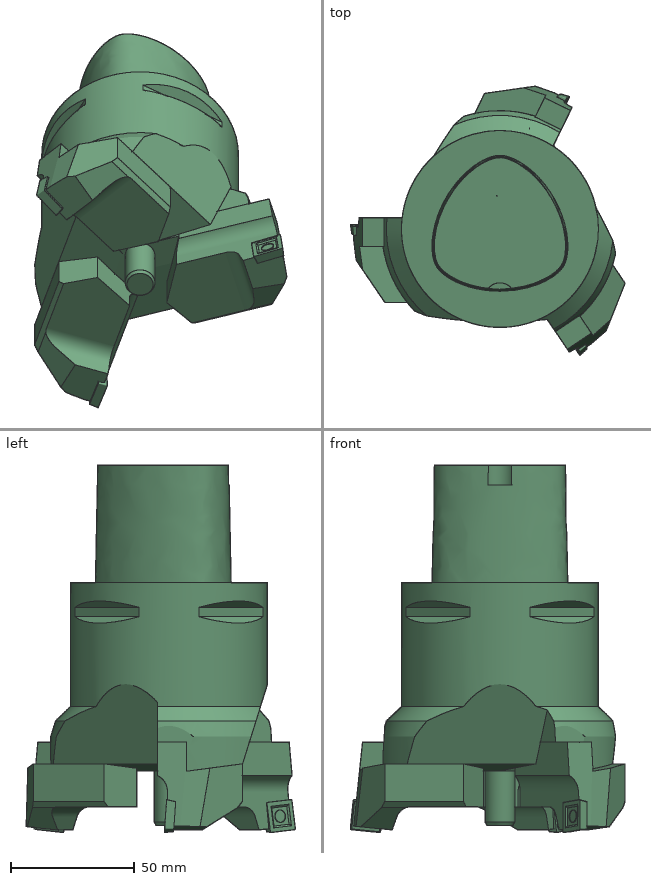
import cadquery as cq
import math


TOP_Z = 149.2
FAR = 89.5

SLIDE_ANGLES = [180.0, 304.0, 63.9]

SHANK_BASE_Z = 101.5
SHANK_BASE_RADIUS = 27.6
SHANK_LOBE = 4.6
SHANK_TAPER = 0.02
SHANK_POINTS = 60
NOTCH_RADIUS = 12.1 / 2
NOTCH_CENTRE_Y = -27.9
NOTCH_DEPTH = 8.0

BARREL_RADIUS = 80.0 / 2
BARREL_BASE_Z = 51.2
COLLAR_TOP_RADIUS = 46.1
COLLAR_TOP_Z = 45.4
COLLAR_RADIUS = 48.0
COLLAR_SHOULDER_Z = 39.0
HUB_Z = 24.9
PIN_RADIUS = 12.1 / 2
PIN_Z = 2.8
PIN_CHAMFER_RADIAL = 0.7
PIN_CHAMFER_HEIGHT = 1.5

GROOVE_ANGLES = [45.0, 135.0, 225.0, 315.0]
GROOVE_MID_Z = 89.5
GROOVE_FLAT_DISTANCE = 35.5
GROOVE_FLAT_HEIGHT = 3.7
GROOVE_MOUTH_HEIGHT = 9.0

FACE_Y = -4.6
BACK_Y = 29.8
BACK_TOP_Z = 27.9
BLOCK_BACK_Y = 7.2
BLOCK_TOP_Z = 36.7
BLOCK_TOP_X = 55.8
BLOCK_LEAN = 0.1
SLIDE_BOTTOM_Z = 1.0
BACK_CORNER_X = 46.7
BACK_FACET_SLOPE = 0.68
INNER_BACK_X = 14.8
INNER_POINT_X = 6.7
INNER_POINT_Y = 16.0
INNER_ANGLE = 28.0
CHIN_Y = 13.5
HEEL_Y = 27.9
HEEL_Z = 10.1
HEEL_TOP_Z = 12.7
BRIDGE_Z = 10.5
BOTTOM_RISE = 0.1
LEG_BOTTOM_X = 43.7
LEG_LEAN = 0.35
LEG_FILLET = 12.1 / 2
RELIEF_Y = -0.6
RELIEF_TOP_Z = 23.1
RELIEF_RADIUS = 7.3
SIDE_FACET_TURN = 7.0
SIDE_FACET_LEAN = 5.3

PAD_X = 47.3
PAD_MID_Z = 34.3
PAD_LEAN = 3.5
PAD_HALF_WIDTH = 14.9
PAD_HEIGHT = 22.4

GULLY_TOP_Z = 60.1
GULLY_LEAN = 17.4

INSERT_SIZE = 12.4
INSERT_THICKNESS = 3.7
INSERT_NOSE = 0.6
INSERT_CLEARANCE = 9.0
INSERT_CENTRE = (54.0, -1.42, 6.7)
INSERT_LEAD = 5.7
INSERT_RAKE = 4.0
SCREW_SINK_DIAMETER = 5.0
SCREW_SINK_DEPTH = 0.3
DISH_SIZE = 8.8
DISH_DEPTH = 0.6
DISH_TAPER = 50.0

seat_slope = (BACK_TOP_Z - HUB_Z) / (BACK_Y - BLOCK_BACK_Y)


def about_z(body, angle):
    return body.rotate((0, 0, 0), (0, 0, 1), angle)


def beyond_plane(lean):
    """Big block on the +X side of a plane through the origin, its top leaning outward by `lean`."""
    block = cq.Workplane("XY").box(FAR, 2 * FAR, 2 * FAR, centered=(False, True, True))
    return block.rotate((0, 0, 0), (0, 1, 0), lean)


def ahead_of_face():
    """Big block on the open side of a slide's cutting face."""
    block = cq.Workplane("XY").box(2 * FAR, FAR, 2 * FAR, centered=(True, False, True))
    return block.translate((0, FACE_Y - FAR, 0))


def shank_section(z):
    """Three-lobed closed curve with one lobe toward +Y."""
    radius = SHANK_BASE_RADIUS - SHANK_TAPER * (z - SHANK_BASE_Z)
    points = []
    for i in range(SHANK_POINTS):
        a = 2 * math.pi * i / SHANK_POINTS
        along = radius * math.cos(a) - SHANK_LOBE * (math.cos(2 * a) - math.cos(4 * a) / 2)
        across = radius * math.sin(a) + SHANK_LOBE * (math.sin(2 * a) + math.sin(4 * a) / 2)
        points.append(cq.Vector(across, -along, z))
    return cq.Wire.assembleEdges([cq.Edge.makeSpline(points, periodic=True)])


def make_shank():
    sections = [shank_section(SHANK_BASE_Z), shank_section(TOP_Z)]
    shank = cq.Workplane(obj=cq.Solid.makeLoft(sections, True))
    notch = (
        cq.Workplane("XY")
        .workplane(offset=TOP_Z - NOTCH_DEPTH)
        .center(0, NOTCH_CENTRE_Y)
        .circle(NOTCH_RADIUS)
        .extrude(NOTCH_DEPTH)
    )
    return shank.cut(notch)


def make_barrel():
    """Turned shape of the adapter below the shank, with its centre pin."""
    return (
        cq.Workplane("XZ")
        .moveTo(0, PIN_Z)
        .lineTo(PIN_RADIUS - PIN_CHAMFER_RADIAL, PIN_Z)
        .lineTo(PIN_RADIUS, PIN_Z + PIN_CHAMFER_HEIGHT)
        .lineTo(PIN_RADIUS, HUB_Z)
        .lineTo(COLLAR_RADIUS, HUB_Z)
        .lineTo(COLLAR_RADIUS, COLLAR_SHOULDER_Z)
        .lineTo(COLLAR_TOP_RADIUS, COLLAR_TOP_Z)
        .lineTo(BARREL_RADIUS, BARREL_BASE_Z)
        .lineTo(BARREL_RADIUS, SHANK_BASE_Z)
        .lineTo(0, SHANK_BASE_Z)
        .close()
        .revolve(360, (0, 0, 0), (0, 1, 0))
    )


def gripper_groove():
    """Straight groove with sloping walls, cut across the +X side of the barrel."""
    flare = (GROOVE_MOUTH_HEIGHT - GROOVE_FLAT_HEIGHT) / 2
    depth = BARREL_RADIUS - GROOVE_FLAT_DISTANCE
    return (
        cq.Workplane("XZ")
        .moveTo(GROOVE_FLAT_DISTANCE, GROOVE_MID_Z - GROOVE_FLAT_HEIGHT / 2)
        .line(depth, -flare)
        .line(0, GROOVE_MOUTH_HEIGHT)
        .line(-depth, -flare)
        .close()
        .extrude(FAR, both=True)
    )


def gully(slide_angle, next_angle):
    """Chip space behind a slide: a leaning flat that ends at the next slide's cutting face."""
    flat = beyond_plane(GULLY_LEAN).translate((BARREL_RADIUS, 0, GULLY_TOP_Z))
    back_angle = slide_angle + 90
    return about_z(flat, back_angle).intersect(about_z(ahead_of_face(), next_angle))


def seat_space(slide_angle, next_angle):
    """Space under the sloping seat, from behind a slide to the next slide's cutting face."""
    below = (
        cq.Workplane("YZ")
        .moveTo(BLOCK_BACK_Y, HUB_Z)
        .lineTo(FAR, HUB_Z + seat_slope * (FAR - BLOCK_BACK_Y))
        .lineTo(FAR, 0)
        .lineTo(BLOCK_BACK_Y, 0)
        .close()
        .extrude(FAR, both=True)
    )
    return about_z(below, slide_angle).intersect(about_z(ahead_of_face(), next_angle))


def pad_space():
    """Leaning flat on the collar above the slide."""
    block = cq.Workplane("XY").box(FAR, 2 * PAD_HALF_WIDTH, PAD_HEIGHT, centered=(False, True, True))
    return block.rotate((0, 0, 0), (0, 1, 0), -PAD_LEAN).translate((PAD_X, 0, PAD_MID_Z))


def make_adapter():
    adapter = make_barrel().union(make_shank())
    for angle in GROOVE_ANGLES:
        adapter = adapter.cut(about_z(gripper_groove(), angle))
    for i, angle in enumerate(SLIDE_ANGLES):
        next_angle = SLIDE_ANGLES[(i + 1) % len(SLIDE_ANGLES)]
        adapter = adapter.cut(gully(angle, next_angle))
        adapter = adapter.cut(seat_space(angle, next_angle))
        adapter = adapter.cut(about_z(pad_space(), angle))
    return adapter


def slide_plan():
    """Slide outline seen along Z: pointed inner end, square face and slanted back facet."""
    inner_face_x = INNER_POINT_X + (INNER_POINT_Y - FACE_Y) * math.tan(math.radians(INNER_ANGLE))
    outer_face_x = BACK_CORNER_X + (BACK_Y - FACE_Y) * BACK_FACET_SLOPE
    return (
        cq.Workplane("XY")
        .moveTo(inner_face_x, FACE_Y)
        .lineTo(outer_face_x, FACE_Y)
        .lineTo(BACK_CORNER_X, BACK_Y)
        .lineTo(INNER_BACK_X, BACK_Y)
        .lineTo(INNER_POINT_X, INNER_POINT_Y)
        .close()
        .extrude(BLOCK_TOP_Z)
    )


def slide_side():
    """Slide outline seen along X: raised block, sloping seat, cut-back heel and face relief."""
    relief_depth = RELIEF_Y - FACE_Y
    relief_height = math.sqrt(relief_depth * (2 * RELIEF_RADIUS - relief_depth))
    return (
        cq.Workplane("YZ")
        .moveTo(FACE_Y, BLOCK_TOP_Z)
        .lineTo(FACE_Y, RELIEF_TOP_Z)
        .radiusArc((RELIEF_Y, RELIEF_TOP_Z - relief_height), RELIEF_RADIUS)
        .lineTo(RELIEF_Y, SLIDE_BOTTOM_Z)
        .lineTo(CHIN_Y, SLIDE_BOTTOM_Z)
        .lineTo(HEEL_Y, HEEL_Z)
        .lineTo(BACK_Y, HEEL_TOP_Z)
        .lineTo(BACK_Y, BACK_TOP_Z)
        .lineTo(BLOCK_BACK_Y, HUB_Z)
        .lineTo(BLOCK_BACK_Y, BLOCK_TOP_Z)
        .close()
        .extrude(FAR)
    )


def slide_front():
    """Slide outline seen along Y: leaning outer face, and a leg below the bridge."""
    outer_bottom_x = BLOCK_TOP_X + BLOCK_LEAN * (BLOCK_TOP_Z - SLIDE_BOTTOM_Z)
    outer_bottom_z = SLIDE_BOTTOM_Z + BOTTOM_RISE * (outer_bottom_x - LEG_BOTTOM_X)
    leg_top_x = LEG_BOTTOM_X - LEG_LEAN * (BRIDGE_Z - SLIDE_BOTTOM_Z)
    fillet_reach = LEG_FILLET * math.tan((math.pi / 2 - math.atan(LEG_LEAN)) / 2)
    leg_length = math.hypot(1, LEG_LEAN)
    fillet_end_x = leg_top_x + fillet_reach * LEG_LEAN / leg_length
    fillet_end_z = BRIDGE_Z - fillet_reach / leg_length
    return (
        cq.Workplane("XZ")
        .moveTo(0, BLOCK_TOP_Z)
        .lineTo(BLOCK_TOP_X, BLOCK_TOP_Z)
        .lineTo(outer_bottom_x, outer_bottom_z)
        .lineTo(LEG_BOTTOM_X, SLIDE_BOTTOM_Z)
        .lineTo(fillet_end_x, fillet_end_z)
        .radiusArc((leg_top_x - fillet_reach, BRIDGE_Z), -LEG_FILLET)
        .lineTo(0, BRIDGE_Z)
        .close()
        .extrude(FAR, both=True)
    )


def side_facet():
    """Tilted cut on the outer side, starting at the back edge of the raised block."""
    start_x = BLOCK_TOP_X + BLOCK_LEAN * (BLOCK_TOP_Z - HUB_Z)
    cut = about_z(beyond_plane(-SIDE_FACET_LEAN), SIDE_FACET_TURN)
    return cut.translate((start_x, BLOCK_BACK_Y, HUB_Z))


def make_slide():
    return slide_plan().intersect(slide_side()).intersect(slide_front()).cut(side_facet())


def make_insert_blank():
    """Square plate with clearance on its sides, face toward -Y."""
    outline = cq.Sketch().rect(INSERT_SIZE, INSERT_SIZE).vertices().fillet(INSERT_NOSE)
    return cq.Workplane("XZ").placeSketch(outline).extrude(-INSERT_THICKNESS, taper=INSERT_CLEARANCE)


def set_insert(insert):
    """Moves an insert from the origin to its seat in the slide."""
    turned = insert.rotate((0, 0, 0), (0, 1, 0), -INSERT_LEAD).rotate((0, 0, 0), (1, 0, 0), -INSERT_RAKE)
    return turned.translate(INSERT_CENTRE)


def make_insert():
    dish = cq.Workplane("XZ").rect(DISH_SIZE, DISH_SIZE).extrude(-DISH_DEPTH, taper=DISH_TAPER)
    sink = cq.Workplane("XZ").circle(SCREW_SINK_DIAMETER / 2).extrude(-DISH_DEPTH - SCREW_SINK_DEPTH)
    return make_insert_blank().cut(dish).cut(sink)


slide = make_slide()
pocketed_slide = slide.cut(set_insert(make_insert_blank()))
insert = set_insert(make_insert())

adapter = make_adapter()
slides = []
inserts = []
for slide_angle in SLIDE_ANGLES:
    adapter = adapter.cut(about_z(slide, slide_angle))
    slides.append(about_z(pocketed_slide, slide_angle).val())
    inserts.append(about_z(insert, slide_angle).val())

result = cq.Compound.makeCompound([adapter.val(), *slides, *inserts])